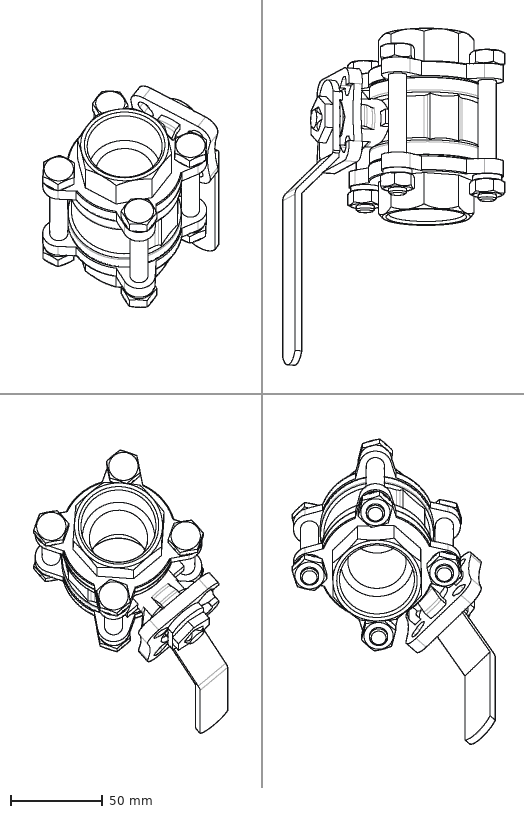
import cadquery as cq
import math


overall_width = 72.0
overall_depth = 116.2
overall_height = 189.0

ring_radius = 62.5 / 2
barrel_radius = 29.3
barrel_half_height = 11.7
ring_cone_radius = 31.0
ring_cone_top = 13.5
ring_bottom = 14.5
ring_top = 21.5
joint_radius = 30.6
flange_bottom = 22.5
flange_top = 30.8
flange_radius = 31.8
flange_edge_chamfer = 0.5
end_height = 50.5
end_flats = 48.5
end_sides = 8
end_rim_radius = 24.2

bore_radius = 32.0 / 2
thread_mouth_radius = 20.6
thread_end_radius = 19.8
thread_depth = 23.8
thread_chamfer = 1.5
seat_angle = 30
thread_end = end_height - thread_depth
seat_end = thread_end - (thread_end_radius - bore_radius) * math.tan(math.radians(seat_angle))

pad_face_half_width = 8.3
pad_edge_half_width = 9.5
pad_edge_drop = 1.1
pad_foot_half_width = 11.2

bolt_diameter = 10.0
bolt_flats = 17.0
bolt_offset = overall_width / 2 - bolt_flats / math.sqrt(3)
bolt_head_height = 8.0
bolt_face_diameter = 16.0
corner_chamfer_slope = math.tan(math.radians(30))
washer_diameter = 16.0
washer_thickness = 2.6
bolt_end = 44.2
bolt_end_chamfer = 1.0
lug_radius = 8.9
lug_flank_length = 11.3
lug_flank_angles = ((120, 210), (-30, -120))

tower_foot_half_width = 20.6
tower_foot_height = 8.1
tower_foot_top = ring_radius
neck_radius = 26.6 / 2
neck_top = 42.0
arm_radius = 19.7
arm_inner_radius = 30.5 / 2
arm_width = 12.1
arm_slope_bottom = 35.7
arm_bend_tangent = 1.0
arm_root_depth = 1.9
stem_diameter = 14.5

plate_bottom = 46.7
plate_top = 54.5
plate_half_size = 52.0 / 2
plate_corner_radius = 8.1
waist_half_height = 16.0
waist_half_width = 24.0
slot_diameter = 7.0
slot_inner_radius = 21.0
slot_outer_radius = 25.0
recess_diameter = 32.0
recess_depth = 3.0

lever_thickness = 4.0
head_half_width = 11.2
head_arc_start = 14.0
head_end = 22.1
shoulder_top = -19.0
shoulder_bottom = -20.2
arm_half_width = 10.0
bend_top = -20.8
tip_side_end = -132.5
tip_end = end_height - overall_height
bend_angle = 45
bend_radius = 5.7
tab_width = 3.8
tab_bottom = 9.5
tab_thickness = 1.5

stem_washer_radius = 11.7
packing_nut_flats = 18.9
packing_nut_height = 1.3
stem_flats = 11.0
thread_radius = 6.6
stem_nut_flats = 22.5
stem_nut_height = 5.0
stem_tip_length = 2.5
stem_tip_radius = 5.1

lever_top = plate_top + lever_thickness
grip_top = overall_depth - overall_width / 2
bend_offset = grip_top - lever_top
stem_nut_top = lever_top + stem_nut_height
stem_tip = stem_nut_top + stem_tip_length
recess_floor = plate_top - recess_depth


def cylinder_z(radius, bottom, top):
    return cq.Workplane("XY", origin=(0, 0, bottom)).circle(radius).extrude(top - bottom)


def plane_y(y):
    """Work plane facing +Y at height y, with its local axes along -X and Z."""
    return cq.Workplane("XZ", origin=(0, y, 0)).transformed(rotate=(0, 180, 0))


def cylinder_y(radius, bottom, top):
    return plane_y(bottom).circle(radius).extrude(top - bottom)


def across_corners(flats, sides):
    return flats / math.cos(math.pi / sides)


def mirrored_pair(solid):
    """The shape and its mirror image below the middle of the valve."""
    return solid.union(solid.mirror("XY"))


def hexagon(bottom, height):
    """Hexagonal bolt head or nut with both ends chamfered on the corners."""
    corner = across_corners(bolt_flats, 6) / 2
    face = bolt_face_diameter / 2
    drop = (corner - face) * corner_chamfer_slope
    prism = cq.Workplane("XY").polygon(6, 2 * corner).extrude(height)
    envelope = (
        cq.Workplane("XZ")
        .polyline([
            (0, 0),
            (face, 0),
            (corner, drop),
            (corner, height - drop),
            (face, height),
            (0, height),
        ])
        .close()
        .revolve(360, (0, 0, 0), (0, 1, 0))
    )
    return prism.intersect(envelope).translate((0, 0, bottom))


def centre_section():
    """Revolved barrel with a flared ring at each end, and a name pad on both X sides."""
    half = (
        cq.Workplane("XZ")
        .polyline([
            (0, 0),
            (barrel_radius, 0),
            (barrel_radius, barrel_half_height),
            (ring_cone_radius, ring_cone_top),
            (ring_radius, ring_bottom),
            (ring_radius, ring_top),
            (joint_radius, ring_top),
            (joint_radius, flange_bottom),
            (0, flange_bottom),
        ])
        .close()
        .revolve(360, (0, 0, 0), (0, 1, 0))
    )
    pad_foot = math.sqrt(barrel_radius**2 - pad_foot_half_width**2)
    pad = (
        cq.Workplane("XY", origin=(0, 0, -ring_cone_top))
        .polyline([
            (0, -pad_foot_half_width),
            (pad_foot, -pad_foot_half_width),
            (barrel_radius - pad_edge_drop, -pad_edge_half_width),
            (barrel_radius, -pad_face_half_width),
            (barrel_radius, pad_face_half_width),
            (barrel_radius - pad_edge_drop, pad_edge_half_width),
            (pad_foot, pad_foot_half_width),
            (0, pad_foot_half_width),
        ])
        .close()
        .extrude(2 * ring_cone_top)
    )
    return mirrored_pair(half).union(pad).union(pad.mirror("YZ"))


def lug():
    """Corner lug around one bolt; its two flanks spread by 30 degrees towards the flange."""
    points = []
    for normal_angle, inward_angle in lug_flank_angles:
        normal = math.radians(normal_angle)
        along = math.radians(inward_angle)
        start = (bolt_offset + lug_radius * math.cos(normal), bolt_offset + lug_radius * math.sin(normal))
        inner = (
            start[0] + lug_flank_length * math.cos(along),
            start[1] + lug_flank_length * math.sin(along),
        )
        points.append((start, inner))
    (start_a, inner_a), (start_b, inner_b) = points
    height = flange_top - flange_bottom
    flanks = (
        cq.Workplane("XY", origin=(0, 0, flange_bottom))
        .polyline([start_a, inner_a, inner_b, start_b])
        .close()
        .extrude(height)
    )
    round_end = cylinder_z(lug_radius, flange_bottom, flange_top).translate((bolt_offset, bolt_offset, 0))
    return flanks.union(round_end)


def end_cap():
    """Four-lugged flange with an octagonal end chamfered on its corners."""
    cap = cylinder_z(flange_radius, flange_bottom, flange_top).faces(">Z").chamfer(flange_edge_chamfer)
    for quarter in range(4):
        cap = cap.union(lug().rotate((0, 0, 0), (0, 0, 1), 90 * quarter))
    corner = across_corners(end_flats, end_sides) / 2
    drop = corner - end_rim_radius
    octagon = (
        cq.Workplane("XY", origin=(0, 0, flange_bottom))
        .transformed(rotate=(0, 0, 180 / end_sides))
        .polygon(end_sides, 2 * corner)
        .extrude(end_height - flange_bottom)
    )
    envelope = (
        cq.Workplane("XZ")
        .polyline([
            (0, 0),
            (corner, 0),
            (corner, end_height - drop),
            (end_rim_radius, end_height),
            (0, end_height),
        ])
        .close()
        .revolve(360, (0, 0, 0), (0, 1, 0))
    )
    return cap.union(octagon.intersect(envelope))


def bore():
    """Straight bore, conical seat, tapered thread hole and mouth chamfer at both ends."""
    half = (
        cq.Workplane("XZ")
        .polyline([
            (0, 0),
            (bore_radius, 0),
            (bore_radius, seat_end),
            (thread_end_radius, thread_end),
            (thread_mouth_radius, end_height - thread_chamfer),
            (thread_mouth_radius + thread_chamfer, end_height),
            (0, end_height),
        ])
        .close()
        .revolve(360, (0, 0, 0), (0, 1, 0))
    )
    return mirrored_pair(half)


def bolt(quarter):
    """Bolt with head, washer and nut; each bolt is turned a quarter with its corner of the flange."""
    washer_bottom = -flange_top - washer_thickness
    shank = cylinder_z(bolt_diameter / 2, -bolt_end, flange_top).faces("<Z").chamfer(bolt_end_chamfer)
    washer = cylinder_z(washer_diameter / 2, washer_bottom, -flange_top)
    head = hexagon(flange_top, bolt_head_height)
    nut = hexagon(washer_bottom - bolt_head_height, bolt_head_height)
    parts = shank.union(washer).union(head).union(nut)
    return parts.translate((bolt_offset, bolt_offset, 0)).rotate((0, 0, 0), (0, 0, 1), 90 * quarter)


def stem_tower():
    """Foot bar and round neck, with four arms that flare out to the mounting plate."""
    foot = (
        plane_y(0)
        .rect(2 * tower_foot_half_width, tower_foot_height)
        .extrude(tower_foot_top)
    )
    tower = foot.union(cylinder_y(neck_radius, 0, neck_top))
    arm_slope_top = arm_slope_bottom + arm_radius - neck_radius
    bend_leg = arm_bend_tangent * math.cos(math.radians(45))
    inner_fillet = arm_inner_radius - neck_radius
    root_radius = neck_radius - arm_root_depth
    arms = (
        cq.Workplane("XY")
        .moveTo(root_radius, arm_slope_bottom - 2 * arm_bend_tangent)
        .lineTo(neck_radius, arm_slope_bottom - 2 * arm_bend_tangent)
        .lineTo(neck_radius, arm_slope_bottom - arm_bend_tangent)
        .tangentArcPoint((neck_radius + bend_leg, arm_slope_bottom + bend_leg), relative=False)
        .lineTo(arm_radius - bend_leg, arm_slope_top - bend_leg)
        .tangentArcPoint((arm_radius, arm_slope_top + arm_bend_tangent), relative=False)
        .lineTo(arm_radius, plate_bottom)
        .lineTo(arm_inner_radius, plate_bottom)
        .lineTo(arm_inner_radius, neck_top + inner_fillet)
        .tangentArcPoint((neck_radius, neck_top), relative=False)
        .lineTo(root_radius, neck_top)
        .close()
        .revolve(360, (0, 0, 0), (0, 1, 0))
    )
    span = 3 * arm_radius
    strip = plane_y(0).rect(arm_width, span).extrude(plate_bottom)
    cross = strip.union(plane_y(0).rect(span, arm_width).extrude(plate_bottom))
    return tower.union(arms.intersect(cross))


def mounting_plate():
    """Square plate with waisted X sides, diagonal slots and a washer recess open to -X."""
    thickness = plate_top - plate_bottom
    corner_centre = plate_half_size - plate_corner_radius
    corner_discs = (
        plane_y(plate_bottom)
        .rect(2 * corner_centre, 2 * corner_centre, forConstruction=True)
        .vertices()
        .circle(plate_corner_radius)
        .extrude(thickness)
    )
    waist_end = corner_centre + math.sqrt(plate_corner_radius**2 - (corner_centre - waist_half_height) ** 2)
    middle = (
        plane_y(plate_bottom)
        .moveTo(-waist_end, waist_half_height)
        .lineTo(waist_end, waist_half_height)
        .threePointArc((waist_half_width, 0), (waist_end, -waist_half_height))
        .lineTo(-waist_end, -waist_half_height)
        .threePointArc((-waist_half_width, 0), (-waist_end, waist_half_height))
        .close()
        .extrude(thickness)
    )
    upright = plane_y(plate_bottom).rect(2 * corner_centre, 2 * plate_half_size).extrude(thickness)
    plate = middle.union(upright).union(corner_discs)
    slot_centre = (slot_inner_radius + slot_outer_radius) / 2
    slot_length = slot_outer_radius - slot_inner_radius + slot_diameter
    slots = (
        plane_y(plate_bottom)
        .polarArray(slot_centre, 45, 360, 4)
        .slot2D(slot_length, slot_diameter)
        .extrude(thickness)
    )
    recess = cylinder_y(recess_diameter / 2, recess_floor, plate_top)
    opening = (
        plane_y(recess_floor)
        .center(plate_half_size / 2, 0)
        .rect(plate_half_size, recess_diameter)
        .extrude(recess_depth)
    )
    return plate.cut(slots).cut(recess).cut(opening)


def make_valve_body():
    body = centre_section().union(mirrored_pair(end_cap()))
    for quarter in range(4):
        body = body.union(bolt(quarter))
    body = body.union(stem_tower()).union(mounting_plate())
    stem_hole = cylinder_y(stem_diameter / 2, tower_foot_top, plate_top)
    return body.cut(bore()).cut(stem_hole)


def stem_square(bottom, top):
    """Square on its corner, with the corners rounded to the thread radius."""
    square = plane_y(bottom).transformed(rotate=(0, 0, 45)).rect(stem_flats, stem_flats).extrude(top - bottom)
    return square.intersect(cylinder_y(thread_radius, bottom, top))


def make_lever():
    """Bent strip with a wider rounded head, cut to its outline as seen along the stem."""
    bend_rise = lever_thickness * math.tan(math.radians(bend_angle / 2))
    strip = (
        cq.Workplane("YZ", origin=(-head_half_width, 0, 0))
        .polyline([
            (plate_top, head_end),
            (lever_top, head_end),
            (lever_top, bend_top),
            (grip_top, bend_top - bend_offset),
            (grip_top, tip_end),
            (grip_top - lever_thickness, tip_end),
            (grip_top - lever_thickness, bend_top - bend_offset - bend_rise),
            (plate_top, bend_top - bend_rise),
        ])
        .close()
        .extrude(2 * head_half_width)
    )
    grip_bend = cq.selectors.NearestToPointSelector((0, grip_top, bend_top - bend_offset))
    strip = strip.edges("|X").edges(grip_bend).fillet(bend_radius)
    outline = (
        plane_y(plate_top)
        .moveTo(-head_half_width, head_arc_start)
        .threePointArc((0, head_end), (head_half_width, head_arc_start))
        .lineTo(head_half_width, shoulder_top)
        .lineTo(arm_half_width, shoulder_bottom)
        .lineTo(arm_half_width, tip_side_end)
        .threePointArc((0, tip_end), (-arm_half_width, tip_side_end))
        .lineTo(-arm_half_width, shoulder_bottom)
        .lineTo(-head_half_width, shoulder_top)
        .close()
        .extrude(grip_top - plate_top)
    )
    stop_tab = (
        plane_y(plate_top - tab_thickness)
        .moveTo(head_half_width - tab_width, tab_bottom)
        .lineTo(head_half_width, tab_bottom)
        .lineTo(head_half_width, head_arc_start)
        .lineTo(head_half_width - tab_width, head_arc_start)
        .close()
        .extrude(tab_thickness)
    )
    return strip.intersect(outline).union(stop_tab).cut(stem_square(plate_top, lever_top))


def make_stem():
    """Shaft, packing nut and washer under the lever, square through it, hexagonal nut and coned tip."""
    shaft = cylinder_y(stem_diameter / 2, tower_foot_top, plate_top)
    packing_nut = (
        plane_y(recess_floor)
        .polygon(6, across_corners(packing_nut_flats, 6))
        .extrude(packing_nut_height)
    )
    washer = cylinder_y(stem_washer_radius, recess_floor + packing_nut_height, plate_top)
    nut = (
        plane_y(lever_top)
        .transformed(rotate=(0, 0, 90))
        .polygon(6, across_corners(stem_nut_flats, 6))
        .extrude(stem_nut_height)
    )
    tip_cone = (
        cq.Workplane("XY")
        .polyline([
            (0, plate_top),
            (thread_radius, plate_top),
            (thread_radius, stem_nut_top),
            (stem_tip_radius, stem_tip),
            (0, stem_tip),
        ])
        .close()
        .revolve(360, (0, 0, 0), (0, 1, 0))
    )
    square = stem_square(plate_top, stem_tip).intersect(tip_cone)
    return shaft.union(packing_nut).union(washer).union(square).union(nut)


valve_body = make_valve_body()
lever = make_lever()
stem = make_stem()

result = cq.Compound.makeCompound([valve_body.val(), lever.val(), stem.val()])